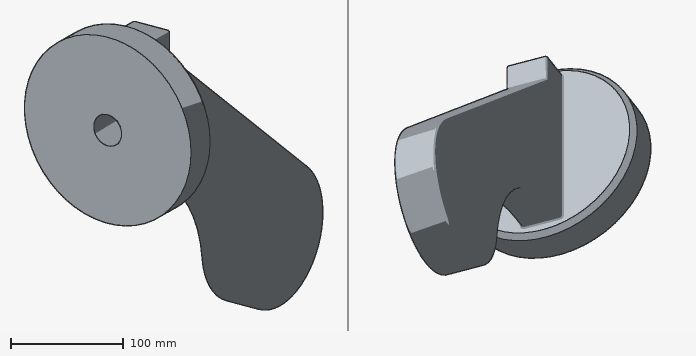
import cadquery as cq
import math

disc_radius = 90.0
disc_thickness = 35.0
disc_chamfer = 5.0
hole_diameter = 30.0

arm_width = 40.0
arm_top_z = 77.5
arm_bottom_z = -77.5
block_rear_y = 70.0
slope_start_z = 51.7

lobe_radius = 68.0
lobe_rear_y = 311.34
lobe_bottom_z = -250.31
lobe_y = lobe_rear_y - lobe_radius
lobe_z = lobe_bottom_z + lobe_radius

underside_flat_end_y = 50.0

arm_fillet = 2.5


def underside_arc():
    """Centre height and radius of the concave arc touching both the underside and the lobe."""
    run = lobe_y - underside_flat_end_y
    drop = arm_bottom_z - lobe_z
    radius = (run**2 + drop**2 - lobe_radius**2) / (2 * (drop + lobe_radius))
    return arm_bottom_z - radius, radius


def slope_tangent_point():
    """Point where the sloped upper edge, drawn from the block, touches the lobe."""
    run = lobe_y - block_rear_y
    drop = slope_start_z - lobe_z
    distance = math.hypot(run, drop)
    angle = math.atan2(drop, -run) - math.acos(lobe_radius / distance)
    return lobe_y + lobe_radius * math.cos(angle), lobe_z + lobe_radius * math.sin(angle)


def make_disc():
    disc = cq.Workplane("XZ").circle(disc_radius).extrude(-disc_thickness)
    return disc.faces(">Y").edges().chamfer(disc_chamfer)


def edge_at(y, z):
    """Selector for the edge across the arm's width that passes through (y, z)."""
    return cq.selectors.NearestToPointSelector((0, y, z))


def arm_profile():
    """Side outline of the arm, drawn on the plane of its -X face."""
    arc_z, arc_radius = underside_arc()
    join_angle = math.atan2(lobe_z - arc_z, lobe_y - underside_flat_end_y)
    mid_angle = (join_angle + math.pi / 2) / 2

    def on_underside_arc(angle):
        y = underside_flat_end_y + arc_radius * math.cos(angle)
        z = arc_z + arc_radius * math.sin(angle)
        return y, z

    return (
        cq.Workplane("YZ", origin=(-arm_width / 2, 0, 0))
        .moveTo(disc_thickness, arm_top_z)
        .lineTo(block_rear_y, arm_top_z)
        .lineTo(block_rear_y, slope_start_z)
        .lineTo(*slope_tangent_point())
        .threePointArc((lobe_y, lobe_bottom_z), on_underside_arc(join_angle))
        .threePointArc(on_underside_arc(mid_angle), (underside_flat_end_y, arm_bottom_z))
        .lineTo(disc_thickness, arm_bottom_z)
        .close()
    )


def make_arm():
    arm = arm_profile().extrude(arm_width)
    arm = arm.edges("|X").edges(edge_at(block_rear_y, slope_start_z)).fillet(arm_fillet)
    arm = arm.edges("|X").edges(edge_at(block_rear_y, arm_top_z)).fillet(arm_fillet)
    return arm.faces("<X or >X").edges("not <Y").fillet(arm_fillet)


def add_root_fillet(body):
    """Blend the arm into the rear face of the disc all around the arm's footprint."""
    margin = 0.1
    low = (-arm_width / 2 - margin, disc_thickness - margin, arm_bottom_z - margin)
    high = (arm_width / 2 + margin, disc_thickness + margin, arm_top_z + margin)
    return body.edges(cq.selectors.BoxSelector(low, high, boundingbox=True)).fillet(arm_fillet)


def make_hole():
    """Blind centre hole that ends level with the disc's rear face."""
    return cq.Workplane("XZ").circle(hole_diameter / 2).extrude(-disc_thickness)


result = add_root_fillet(make_disc().union(make_arm())).cut(make_hole())